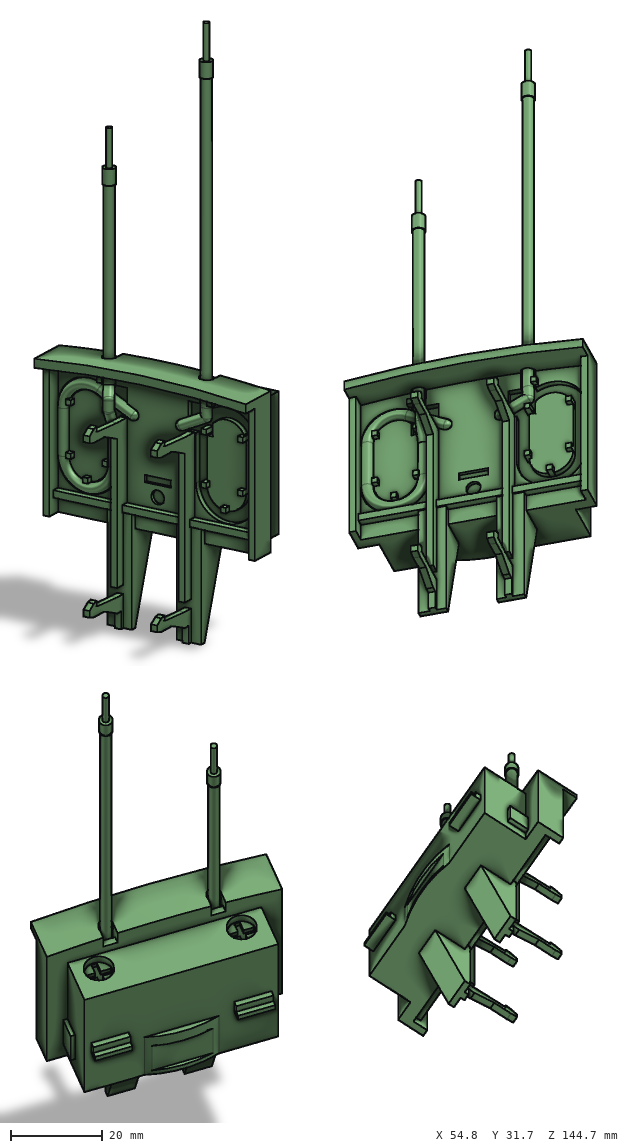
import cadquery as cq
import math

TOTAL_HEIGHT = 144.7
WIDTH = 54.8
HALF_WIDTH = WIDTH / 2
CROWN_Z = 39.0
EAVE_Z = 37.6
ROOF_THICK = 2.2
ROOF_FRONT_Y = -3.6
HOUSING_BACK_Y = 6.7
SIDE_WALL = 1.6
PANEL_Y = 3.6
GROOVE_DEPTH = 1.5
GROOVE_FLOOR_Y = PANEL_Y + GROOVE_DEPTH

LEDGE_BOTTOM_Z = 3.9
LEDGE_HEIGHT = 1.7
LEDGE_TOP_Z = LEDGE_BOTTOM_Z + LEDGE_HEIGHT
LEDGE_FRONT_Y = 1.7

BOX_WIDTH = 45.1
BOX_HEIGHT = 33.3
BOX_BACK_Y = 17.5
SIDE_PAD_REACH = 1.0
SIDE_PAD_BACK_Y = 11.5
SIDE_PAD_Z = (4.5, 13.2)

SCREW_X = 16.6
SCREW_Y = 10.4
SCREW_RADIUS = 3.3
SCREW_SINK = 2.2
CROSS_LENGTH = 6.1
CROSS_WIDTH = 1.3
CROSS_DEPTH = 1.2

CLIP_X = 16.6
CLIP_WIDTH = 8.7
CLIP_Z = (13.6, 17.1)
CLIP_BACK_Y = 18.8
CLIP_LIP_BACK_Y = 20.0
CLIP_LIP_HEIGHT = 1.5

BULGE_HALF_WIDTH = 8.7
BULGE_RISE = 1.3
BULGE_FOOT_HEIGHT = 1.5
BULGE_SHOULDER_Z = 10.3
BULGE_WINDOW_RISE = 0.5

LEG_X = 9.0
LEG_WIDTH = 6.4
LEG_BOTTOM_Z = -23.2
LEG_FRONT_Y = 2.2
LEG_TIP_BACK_Y = 3.6
LEG_ROOT_BACK_Y = 11.5

RIB_SPACING = 17.5
RIB_X = RIB_SPACING / 2
RIB_WIDTH = 1.6
RIB_FRONT_Y = -0.5
RIB_LOW_FRONT_Y = 1.2
RIB_STEP_Z = -13.0
HOOK_TOP_Z = 25.5
HOOK_PITCH = 40.7
HOOK_TIP_Y = -11.7
HOOK_TIP_HEIGHT = 1.6
HOOK_RISE = 0.5
HOOK_ROOT_HEIGHT = 3.8
HOOK_ARM_DROP = 1.7
HOOK_ARM_ROOT_Y = -5.6
BARB_ROOT_Y = -8.7
BARB_CREST_Y = -10.0
BARB_HEIGHT = 1.3
BARB_FALL = 0.3
BARB_TIP_FALL = 1.2

COIL_SPACING = 35.7
COIL_X = COIL_SPACING / 2
COIL_LOW_Z = 13.7
COIL_HIGH_Z = 24.9
COIL_RADIUS = 6.5
GROOVE_WIDTH = 2.9

WIRE_RADIUS = 1.3
WIRE_X = 12.6
WIRE_Y = 3.6
WIRE_BEND_Z = 32.1
FERRULE_DIAMETER = 3.0
FERRULE_LENGTH = 3.9
PIN_RADIUS = 0.7
LEFT_TIP_Z = 92.2
LEFT_PIN_LENGTH = 9.3
RIGHT_TIP_Z = LEG_BOTTOM_Z + TOTAL_HEIGHT
RIGHT_PIN_LENGTH = 8.8
CROSSING_X = COIL_X - COIL_RADIUS
CROSSING_Y = 1.5
CROSSING_TOP_Z = 29.8
CROSSING_BOTTOM_Z = 27.2
COIL_ENTRY_Z = 22.5
LEAD_END_X = 6.2
LEAD_END_Z = 26.5
LEAD_ANGLE = 26.0
SLOT_WIDTH = 3.3
SLOT_FRONT_Y = 2.0
POCKET_TOP_Z = 32.4
POCKET_BOTTOM_Z = 25.3
POCKET_INNER_X = RIB_X - RIB_WIDTH / 2

PEG_SIZE = 1.3
PEG_FRONT_Y = 2.2
HIGH_PEG_RISE = 1.7
LOW_PEG_RISE = 0.5
ENTRY_PEG_RISE = 1.3

SLIT_WIDTH = 6.8
SLIT_HEIGHT = 1.7
SLIT_Z = 12.2
HOLE_DIAMETER = 3.3
HOLE_Z = 8.4
SHALLOW_CUT = 0.9


def block(x_range, y_range, z_range):
    """Axis-aligned box between the given limits."""
    x0, x1 = x_range
    y0, y1 = y_range
    z0, z1 = z_range
    return cq.Workplane("XY").box(x1 - x0, y1 - y0, z1 - z0, centered=False).translate((x0, y0, z0))


def centered_block(x, width, y_range, z_range):
    return block((x - width / 2, x + width / 2), y_range, z_range)


def front_outline(y):
    """Sketch plane in X and Z whose extrusion runs toward +Y."""
    return cq.Workplane("XZ", origin=(0, y, 0))


def roof_arc(y):
    """Start of a housing outline: the roof arc from the left eave to the right eave."""
    start = front_outline(y).moveTo(-HALF_WIDTH, EAVE_Z)
    return start.threePointArc((0, CROWN_Z), (HALF_WIDTH, EAVE_Z))


def back_panel():
    outline = roof_arc(PANEL_Y).lineTo(HALF_WIDTH, 0).lineTo(-HALF_WIDTH, 0).close()
    return outline.extrude(PANEL_Y - HOUSING_BACK_Y)


def roof():
    eave_under = EAVE_Z - ROOF_THICK
    outline = roof_arc(ROOF_FRONT_Y).lineTo(HALF_WIDTH, eave_under)
    outline = outline.threePointArc((0, CROWN_Z - ROOF_THICK), (-HALF_WIDTH, eave_under)).close()
    return outline.extrude(ROOF_FRONT_Y - HOUSING_BACK_Y)


def housing():
    shell = back_panel().union(roof())
    wall_z = (0, EAVE_Z - ROOF_THICK / 2)
    for side in (-1, 1):
        wall_x = side * (HALF_WIDTH - SIDE_WALL / 2)
        shell = shell.union(centered_block(wall_x, SIDE_WALL, (0, PANEL_Y), wall_z))
    ledge = centered_block(0, WIDTH, (LEDGE_FRONT_Y, PANEL_Y), (LEDGE_BOTTOM_Z, LEDGE_TOP_Z))
    return shell.union(ledge)


def rear_box():
    box = centered_block(0, BOX_WIDTH, (HOUSING_BACK_Y, BOX_BACK_Y), (0, BOX_HEIGHT))
    pads = centered_block(0, BOX_WIDTH + 2 * SIDE_PAD_REACH, (HOUSING_BACK_Y, SIDE_PAD_BACK_Y), SIDE_PAD_Z)
    box = box.union(pads)
    for side in (-1, 1):
        box = box.cut(screw_recess(side * SCREW_X)).union(clip(side * CLIP_X))
    return box.union(back_bulge())


def screw_recess(x):
    """Round sink down to the screw head plus the cross drive in the head."""
    head = cq.Workplane("XY", origin=(x, SCREW_Y, BOX_HEIGHT - SCREW_SINK))
    sink = head.circle(SCREW_RADIUS).extrude(SCREW_SINK)
    for length_x, length_y in ((CROSS_LENGTH, CROSS_WIDTH), (CROSS_WIDTH, CROSS_LENGTH)):
        sink = sink.union(head.rect(length_x, length_y).extrude(-CROSS_DEPTH))
    return sink


def clip(x):
    low = CLIP_Z[0]
    plate = centered_block(x, CLIP_WIDTH, (BOX_BACK_Y, CLIP_BACK_Y), CLIP_Z)
    lip = centered_block(x, CLIP_WIDTH, (CLIP_BACK_Y, CLIP_LIP_BACK_Y), (low, low + CLIP_LIP_HEIGHT))
    return plate.union(lip)


def back_bulge():
    """Shallow arc-shaped cover with a lower window between its foot and shoulder."""
    cover = (
        cq.Workplane("XY")
        .moveTo(-BULGE_HALF_WIDTH, BOX_BACK_Y)
        .threePointArc((0, BOX_BACK_Y + BULGE_RISE), (BULGE_HALF_WIDTH, BOX_BACK_Y))
        .close()
        .extrude(CLIP_Z[0])
    )
    window_back = (BOX_BACK_Y + BULGE_WINDOW_RISE, BOX_BACK_Y + BULGE_RISE)
    window = centered_block(0, 2 * BULGE_HALF_WIDTH, window_back, (BULGE_FOOT_HEIGHT, BULGE_SHOULDER_Z))
    return cover.cut(window)


def leg(x):
    """Wedge-shaped leg that narrows toward its tip and runs up behind the ledge."""
    profile = [
        (LEG_FRONT_Y, LEDGE_BOTTOM_Z),
        (LEG_FRONT_Y, LEG_BOTTOM_Z),
        (LEG_TIP_BACK_Y, LEG_BOTTOM_Z),
        (LEG_ROOT_BACK_Y, 0),
        (LEG_ROOT_BACK_Y, LEDGE_BOTTOM_Z),
    ]
    return side_plate(profile, x, LEG_WIDTH)


def side_plate(profile, x, width):
    """Plate of the given width centred on x, from an outline in Y and Z."""
    return cq.Workplane("YZ", origin=(x - width / 2, 0, 0)).polyline(profile).close().extrude(width)


def hook(x, top_z):
    """Snap hook reaching forward, with a barb on top of its tip."""
    barb_base_z = top_z + HOOK_RISE
    catch_z = barb_base_z + BARB_HEIGHT
    crest_z = catch_z - BARB_FALL
    tip_z = crest_z - BARB_TIP_FALL
    arm_bottom_z = top_z - HOOK_ARM_DROP
    root_bottom_z = top_z - HOOK_ROOT_HEIGHT
    profile = [
        (LEG_FRONT_Y, top_z),
        (RIB_FRONT_Y, top_z),
        (BARB_ROOT_Y, barb_base_z),
        (BARB_ROOT_Y, catch_z),
        (BARB_CREST_Y, crest_z),
        (HOOK_TIP_Y, tip_z),
        (HOOK_TIP_Y, tip_z - HOOK_TIP_HEIGHT),
        (BARB_CREST_Y, arm_bottom_z),
        (HOOK_ARM_ROOT_Y, arm_bottom_z),
        (RIB_FRONT_Y, root_bottom_z),
        (LEG_FRONT_Y, root_bottom_z),
    ]
    return side_plate(profile, x, RIB_WIDTH)


def rib_with_hooks(x):
    low_hook_z = HOOK_TOP_Z - HOOK_PITCH
    upper = centered_block(x, RIB_WIDTH, (RIB_FRONT_Y, PANEL_Y), (RIB_STEP_Z, HOOK_TOP_Z))
    lower = centered_block(x, RIB_WIDTH, (RIB_LOW_FRONT_Y, LEG_TIP_BACK_Y), (LEG_BOTTOM_Z, low_hook_z))
    return upper.union(lower).union(hook(x, HOOK_TOP_Z)).union(hook(x, low_hook_z))


def coil_groove(side):
    """Racetrack groove in the panel that holds one coil of wire."""
    straight = COIL_HIGH_Z - COIL_LOW_Z
    plane = front_outline(PANEL_Y).center(side * COIL_X, COIL_LOW_Z + straight / 2)
    rings = []
    for radius in (COIL_RADIUS + GROOVE_WIDTH / 2, COIL_RADIUS - GROOVE_WIDTH / 2):
        rings.append(plane.slot2D(straight + 2 * radius, 2 * radius, 90).extrude(-GROOVE_DEPTH))
    return rings[0].cut(rings[1])


def wire_entry(side):
    """Slot through the roof, its groove down the panel and the pocket beside it."""
    x = side * WIRE_X
    slot_radius = SLOT_WIDTH / 2
    slot_center_y = SLOT_FRONT_Y + slot_radius
    roof_z = (EAVE_Z - ROOF_THICK, CROWN_Z)
    notch_base = cq.Workplane("XY", origin=(x, slot_center_y, roof_z[0]))
    notch = notch_base.circle(slot_radius).extrude(roof_z[1] - roof_z[0])
    notch = notch.union(centered_block(x, SLOT_WIDTH, (slot_center_y, HOUSING_BACK_Y), roof_z))
    groove = centered_block(x, SLOT_WIDTH, (PANEL_Y, GROOVE_FLOOR_Y), (POCKET_BOTTOM_Z, CROWN_Z))
    pocket_x = sorted((side * POCKET_INNER_X, x))
    pocket = block(pocket_x, (PANEL_Y, GROOVE_FLOOR_Y), (POCKET_BOTTOM_Z, POCKET_TOP_Z))
    return notch.union(groove).union(pocket)


def panel_marks():
    """Shallow slit and round hole in the middle of the panel."""
    plane = front_outline(PANEL_Y)
    slit = plane.center(0, SLIT_Z).rect(SLIT_WIDTH, SLIT_HEIGHT).extrude(-SHALLOW_CUT)
    hole = plane.center(0, HOLE_Z).circle(HOLE_DIAMETER / 2).extrude(-SHALLOW_CUT)
    return slit.union(hole)


def pegs(side):
    """Small retaining pegs around the inside of the coil and beside the wire entry."""
    inner = COIL_RADIUS - GROOVE_WIDTH / 2
    half = PEG_SIZE / 2
    places = [
        (COIL_X, COIL_LOW_Z - inner + half),
        (WIRE_X + SLOT_WIDTH / 2, WIRE_BEND_Z + ENTRY_PEG_RISE),
    ]
    for z in (COIL_HIGH_Z + HIGH_PEG_RISE, COIL_LOW_Z + LOW_PEG_RISE):
        places += [(COIL_X - inner, z), (COIL_X + inner - half, z)]
    group = cq.Workplane("XY")
    for x, z in places:
        peg = centered_block(side * x, PEG_SIZE, (PEG_FRONT_Y, GROOVE_FLOOR_Y), (z - half, z + half))
        group = group.union(peg)
    return group


def rod(points):
    """Round wire along straight stretches, with a ball at every joint and at the far end."""
    wire = cq.Workplane("XY")
    for start, end in zip(points, points[1:]):
        stretch = cq.Solid.makeCylinder(WIRE_RADIUS, (end - start).Length, start, end - start)
        joint = cq.Workplane("XY").sphere(WIRE_RADIUS).translate(end)
        wire = wire.union(cq.Workplane(obj=stretch)).union(joint)
    return wire


def upright_end(x, tip_z, pin_length):
    """Straight insulated wire with a ferrule and a bare pin on top."""
    ferrule_top = tip_z - pin_length
    ferrule_bottom = ferrule_top - FERRULE_LENGTH
    end = cq.Workplane("XY")
    for radius, bottom, top in (
        (WIRE_RADIUS, WIRE_BEND_Z, ferrule_bottom),
        (FERRULE_DIAMETER / 2, ferrule_bottom, ferrule_top),
        (PIN_RADIUS, ferrule_top, tip_z),
    ):
        base = cq.Workplane("XY", origin=(x, WIRE_Y, bottom))
        end = end.union(base.circle(radius).extrude(top - bottom))
    return end


def coil_point(angle, center_z):
    """Point on the left coil's centre line at an angle around one of its end arcs."""
    turn = math.radians(angle)
    x = -COIL_X + COIL_RADIUS * math.cos(turn)
    return cq.Vector(x, WIRE_Y, center_z + COIL_RADIUS * math.sin(turn))


def left_wire():
    """Wire that bends over its own lead, runs once round the coil and ends beside the rib."""
    bend_top = cq.Vector(-WIRE_X, WIRE_Y, WIRE_BEND_Z)
    crossing_top = cq.Vector(-CROSSING_X, CROSSING_Y, CROSSING_TOP_Z)
    crossing_bottom = cq.Vector(-CROSSING_X, CROSSING_Y, CROSSING_BOTTOM_Z)
    coil_entry = cq.Vector(-CROSSING_X, WIRE_Y, COIL_ENTRY_Z)

    leave = coil_point(90 - LEAD_ANGLE, COIL_HIGH_Z)
    low_right, low_left = coil_point(0, COIL_LOW_Z), coil_point(180, COIL_LOW_Z)
    high_left = coil_point(180, COIL_HIGH_Z)
    loop = cq.Wire.assembleEdges([
        cq.Edge.makeLine(coil_entry, low_right),
        cq.Edge.makeThreePointArc(low_right, coil_point(-90, COIL_LOW_Z), low_left),
        cq.Edge.makeLine(low_left, high_left),
        cq.Edge.makeThreePointArc(high_left, coil_point(90, COIL_HIGH_Z), leave),
    ])
    coil_start = cq.Workplane("XY", origin=coil_entry.toTuple()).circle(WIRE_RADIUS)
    coil = coil_start.sweep(cq.Workplane(obj=loop))

    lead_drop = (-LEAD_END_X - leave.x) * math.tan(math.radians(LEAD_ANGLE))
    lead = rod([leave, cq.Vector(-LEAD_END_X, WIRE_Y, leave.z - lead_drop)])
    bend = rod([bend_top, crossing_top, crossing_bottom, coil_entry])
    upright = upright_end(-WIRE_X, LEFT_TIP_Z, LEFT_PIN_LENGTH)
    return coil.union(lead).union(bend).union(upright)


def right_wire():
    """Wire that drops through the roof and turns straight to its end beside the rib."""
    rise = (WIRE_X - LEAD_END_X) * math.tan(math.radians(LEAD_ANGLE))
    bend_top = cq.Vector(WIRE_X, WIRE_Y, WIRE_BEND_Z)
    corner = cq.Vector(WIRE_X, WIRE_Y, LEAD_END_Z + rise)
    lead_end = cq.Vector(LEAD_END_X, WIRE_Y, LEAD_END_Z)
    return rod([bend_top, corner, lead_end]).union(upright_end(WIRE_X, RIGHT_TIP_Z, RIGHT_PIN_LENGTH))


body = housing().union(rear_box()).cut(panel_marks())
for side in (-1, 1):
    body = body.cut(coil_groove(side)).cut(wire_entry(side)).union(pegs(side))
    body = body.union(leg(side * LEG_X)).union(rib_with_hooks(side * RIB_X))

result = body.union(left_wire()).union(right_wire())